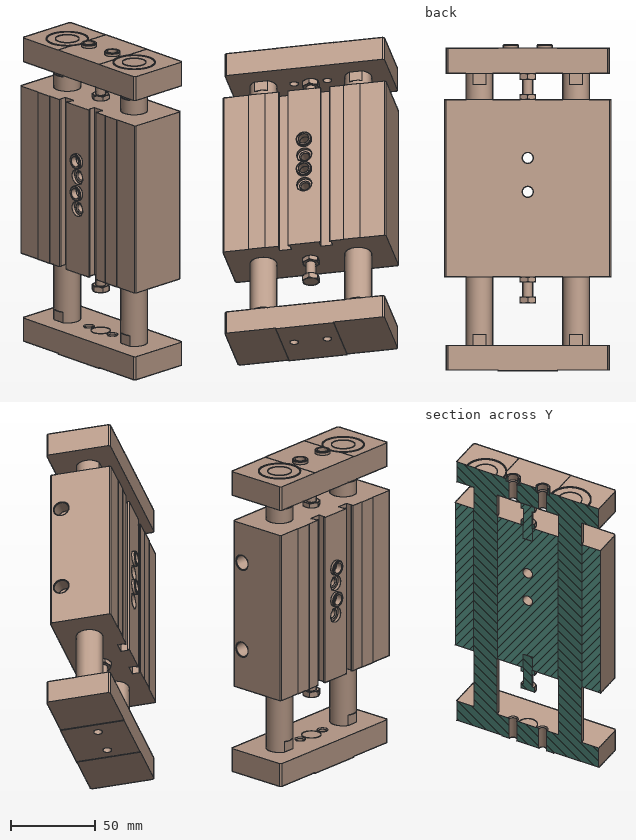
import cadquery as cq
import math


overall_height = 191.9

housing_width = 98.0
housing_front = -19.0
housing_back = 18.5
housing_bottom = 55.3
housing_top = 159.7
housing_corner = 1.0
panel_relief = 0.25
outer_panel_inner_x = 23.6
outer_panel_outer_x = 33.5
slot_inner_x = 9.8
slot_outer_x = 15.0
slot_depth = 5.4
slot_lip = 1.2
slot_undercut = 1.0
slot_edge_chamfer = 0.5

plate_width = 96.0
plate_front = -18.0
plate_back = 21.0
plate_thickness = 15.0
plate_corner = 1.0
pad_width = 35.0
bottom_pad_height = 0.5
top_pad_height = 0.1
rod_diameter = 16.0
rod_spacing = 57.0
rod_flats = 14.0
flat_length = 6.5
cap_diameter = 24.0
cap_groove_diameter = 25.0
cap_groove_depth = 0.5
cap_centre_diameter = 14.0
cap_centre_depth = 0.4
bumper_diameter = 11.5
bumper_recess = 0.2

hole_pitch = 10.0
thread_core_diameter = 5.0
thread_mouth_diameter = 6.3
sleeve_diameter = 9.0
sleeve_length = 4.0
sleeve_protrusion = 2.0
sleeve_chamfer = 0.4
upper_sleeve_z = 125.3
blind_hole_depth = 11.5

port_diameter = 8.8
port_mouth_diameter = 9.5
port_depth = 9.5
port_y = 11.5
port_heights = (80.0, 135.0)
drill_tip_angle = 118.0

screw_diameter = 6.0
screw_depth = 9.5
hex_corners = 10.5
hex_chamfer_diameter = 9.0
hex_chamfer_angle = 30.0
head_height = 3.6
nut_height = 3.0

housing_depth = housing_back - housing_front
housing_height = housing_top - housing_bottom
plate_depth = plate_back - plate_front
plate_middle = (plate_front + plate_back) / 2
plate_top_face = overall_height - sleeve_protrusion
top_plate_bottom = plate_top_face - plate_thickness
rod_x = (-rod_spacing / 2, rod_spacing / 2)
plate_hole_x = (-hole_pitch, hole_pitch)
sleeve_seat_depth = sleeve_length - sleeve_protrusion
front_sleeve_z = (upper_sleeve_z, upper_sleeve_z - 2 * hole_pitch)
screw_reach = top_plate_bottom - housing_top

UP = (0, 0, 1)
DOWN = (0, 0, -1)
RIGHT = (1, 0, 0)
FORWARD = (0, -1, 0)
BACKWARD = (0, 1, 0)


def cylinder(diameter, length, base, direction):
    """Cylinder that starts at base and runs along direction."""
    solid = cq.Solid.makeCylinder(diameter / 2, length, cq.Vector(*base), cq.Vector(*direction))
    return cq.Workplane(solid)


def cone(start_diameter, end_diameter, length, base, direction):
    """Cone frustum that starts at base and runs along direction."""
    solid = cq.Solid.makeCone(
        start_diameter / 2, end_diameter / 2, length, cq.Vector(*base), cq.Vector(*direction)
    )
    return cq.Workplane(solid)


def drilled_hole(diameter, depth, base, direction):
    """Blind hole tool with a pointed drill tip."""
    tip = diameter / 2 / math.tan(math.radians(drill_tip_angle / 2))
    start = cq.Vector(*base)
    tip_base = start + cq.Vector(*direction) * depth
    return cylinder(diameter, depth, base, direction).union(
        cone(diameter, 0, tip, tip_base.toTuple(), direction)
    )


def countersink(mouth_diameter, core_diameter, base, direction):
    """45 degree lead-in of a hole."""
    return cone(mouth_diameter, core_diameter, (mouth_diameter - core_diameter) / 2, base, direction)


def thread_mouth(base, direction):
    """Lead-in of a threaded hole."""
    return countersink(thread_mouth_diameter, thread_core_diameter, base, direction)


def housing_block():
    """Plain housing with chamfered upright corners."""
    return (
        cq.Workplane("XY", origin=(0, (housing_front + housing_back) / 2, housing_bottom))
        .rect(housing_width, housing_depth)
        .extrude(housing_height)
        .edges("|Z")
        .chamfer(housing_corner)
    )


def full_height_cut(x_start, x_end, y_start, y_end):
    """Rectangular cutter that runs the full height of the housing."""
    return (
        cq.Workplane("XY", origin=((x_start + x_end) / 2, (y_start + y_end) / 2, housing_bottom))
        .rect(abs(x_end - x_start), y_end - y_start)
        .extrude(housing_height)
    )


def front_profile_cuts(side):
    """Face reliefs and undercut sensor slot on one side (-1 left, +1 right)."""
    relief_y = housing_front + panel_relief
    outer_relief = full_height_cut(side * outer_panel_outer_x, side * housing_width / 2, housing_front, relief_y)
    inner_relief = full_height_cut(side * slot_outer_x, side * outer_panel_inner_x, housing_front, relief_y)
    mouth = full_height_cut(side * slot_inner_x, side * slot_outer_x, housing_front, housing_front + slot_depth)
    undercut = full_height_cut(
        side * (slot_inner_x - slot_undercut),
        side * (slot_outer_x + slot_undercut),
        housing_front + slot_lip,
        housing_front + slot_depth,
    )
    edge_chamfer = (
        cq.Workplane("XY", origin=(0, 0, housing_bottom))
        .moveTo(side * slot_outer_x, housing_front)
        .lineTo(side * (slot_outer_x + slot_edge_chamfer), relief_y)
        .lineTo(side * slot_outer_x, relief_y + slot_edge_chamfer)
        .close()
        .extrude(housing_height)
    )
    return outer_relief.union(inner_relief).union(mouth).union(undercut).union(edge_chamfer)


def through_hole(z):
    """Sleeve seat in the front face and a hole through the whole housing."""
    face = (0, housing_front, z)
    seat = cylinder(sleeve_diameter, sleeve_seat_depth, face, BACKWARD)
    return seat.union(cylinder(thread_mouth_diameter, housing_depth, face, BACKWARD))


def blind_hole(z):
    """Empty sleeve seat in the front face and a blind threaded hole."""
    seat = cylinder(sleeve_diameter, sleeve_seat_depth, (0, housing_front, z), BACKWARD)
    seat_floor = (0, housing_front + sleeve_seat_depth, z)
    thread = drilled_hole(thread_core_diameter, blind_hole_depth, seat_floor, BACKWARD)
    return seat.union(thread).union(thread_mouth(seat_floor, BACKWARD))


def air_port(z):
    """Countersunk blind port in the -X side."""
    face = (-housing_width / 2, port_y, z)
    bore = drilled_hole(port_diameter, port_depth, face, RIGHT)
    return bore.union(countersink(port_mouth_diameter, port_diameter, face, RIGHT))


def make_housing():
    """Housing with its front profile, rod bores, mounting holes, air ports and screw holes."""
    body = housing_block()
    for side in (-1, 1):
        body = body.cut(front_profile_cuts(side))
    for x in rod_x:
        body = body.cut(cylinder(rod_diameter, housing_height, (x, 0, housing_bottom), UP))
    for z in front_sleeve_z:
        body = body.cut(through_hole(z)).cut(blind_hole(z - hole_pitch))
    for z in port_heights:
        body = body.cut(air_port(z))
    upper_screw_hole = cylinder(screw_diameter, screw_depth, (0, 0, housing_top), DOWN)
    lower_screw_hole = cylinder(screw_diameter, screw_depth, (0, 0, housing_bottom), UP)
    return body.cut(upper_screw_hole).cut(lower_screw_hole)


def end_plate(bottom, height):
    """Plate with chamfered upright corners."""
    return (
        cq.Workplane("XY", origin=(0, plate_middle, bottom))
        .rect(plate_width, plate_depth)
        .extrude(height)
        .edges("|Z")
        .chamfer(plate_corner)
    )


def pad(bottom, height):
    """Middle strip over the full depth of a plate."""
    return (
        cq.Workplane("XY", origin=(0, plate_middle, bottom))
        .rect(pad_width, plate_depth)
        .extrude(height)
    )


def wrench_flats(bottom):
    """Cutter that leaves two flats facing -Y and +Y over one stretch of a rod on the Z axis."""
    width = 2 * rod_diameter
    around = cq.Workplane("XY", origin=(0, 0, bottom)).rect(width, width).extrude(flat_length)
    kept = cq.Workplane("XY", origin=(0, 0, bottom)).rect(width, rod_flats).extrude(flat_length)
    return around.cut(kept)


def rod(x):
    """Rod between the plates, with wrench flats at both ends."""
    body = cylinder(rod_diameter, top_plate_bottom - plate_thickness, (0, 0, plate_thickness), UP)
    for bottom in (plate_thickness, top_plate_bottom - flat_length):
        body = body.cut(wrench_flats(bottom))
    return body.translate((x, 0, 0))


def rod_cap_recess(x):
    """Shallow recess that marks a rod end cap: ring groove, cap face and centre disc."""
    face = (x, 0, plate_top_face)
    cap = cylinder(cap_diameter, cap_groove_depth, face, DOWN)
    groove = cylinder(cap_groove_diameter, cap_groove_depth, face, DOWN).cut(cap)
    cap_face = cylinder(cap_diameter, top_pad_height, face, DOWN)
    centre = cylinder(cap_centre_diameter, cap_centre_depth, face, DOWN)
    return groove.union(cap_face).union(centre)


def upper_plate_hole(x):
    """Sleeve seat above a threaded hole through the upper plate."""
    seat_floor = (x, 0, plate_top_face - sleeve_seat_depth)
    seat = cylinder(sleeve_diameter, sleeve_seat_depth, (x, 0, plate_top_face), DOWN)
    thread = cylinder(thread_core_diameter, plate_thickness, seat_floor, DOWN)
    return seat.union(thread).union(thread_mouth(seat_floor, DOWN))


def lower_plate_hole(x):
    """Threaded hole through the lower plate."""
    face = (x, 0, plate_thickness)
    return cylinder(thread_core_diameter, plate_thickness, face, DOWN).union(thread_mouth(face, DOWN))


def make_frame():
    """Both end plates with their pads, joined by the rods."""
    body = end_plate(bottom_pad_height, plate_thickness - bottom_pad_height)
    body = body.union(pad(0, plate_thickness))
    body = body.union(end_plate(top_plate_bottom, plate_thickness - top_pad_height))
    body = body.union(pad(top_plate_bottom, plate_thickness))
    for x in rod_x:
        body = body.union(rod(x)).cut(rod_cap_recess(x))
    for x in plate_hole_x:
        body = body.cut(upper_plate_hole(x)).cut(lower_plate_hole(x))
    return body.cut(cylinder(bumper_diameter, bumper_recess, (0, 0, plate_thickness), DOWN))


def make_sleeve(face_point, outward):
    """Sleeve seated in its counterbore, standing proud of face_point along outward."""
    direction = cq.Vector(*outward)
    base = cq.Vector(*face_point) - direction * sleeve_seat_depth
    straight = sleeve_length - sleeve_chamfer
    rim_diameter = sleeve_diameter - 2 * sleeve_chamfer
    rim = base + direction * straight
    body = cylinder(sleeve_diameter, straight, base.toTuple(), outward)
    chamfered_rim = cone(sleeve_diameter, rim_diameter, sleeve_chamfer, rim.toTuple(), outward)
    bore = cylinder(thread_mouth_diameter, sleeve_length, base.toTuple(), outward)
    return body.union(chamfered_rim).cut(bore)


def hexagon(height):
    """Hexagon with corners on +-Y, standing on Z = 0, its corners chamfered at both ends."""
    prism = cq.Workplane("XY").polygon(6, hex_corners).extrude(height).rotate((0, 0, 0), (0, 0, 1), 90)
    rise = (hex_corners - hex_chamfer_diameter) / 2 * math.tan(math.radians(hex_chamfer_angle))
    envelope = (
        cq.Workplane("XZ")
        .moveTo(0, 0)
        .lineTo(hex_chamfer_diameter / 2, 0)
        .lineTo(hex_corners / 2, rise)
        .lineTo(hex_corners / 2, height - rise)
        .lineTo(hex_chamfer_diameter / 2, height)
        .lineTo(0, height)
        .close()
        .revolve(360, (0, 0, 0), (0, 1, 0))
    )
    return prism.intersect(envelope)


def make_screw():
    """Screw set into a housing face at Z = 0, its head standing above it."""
    shank = cylinder(screw_diameter, screw_depth + screw_reach - head_height, (0, 0, -screw_depth), UP)
    return shank.union(hexagon(head_height).translate((0, 0, screw_reach - head_height)))


def make_nut():
    """Lock nut resting on a housing face at Z = 0."""
    return hexagon(nut_height).cut(cylinder(screw_diameter, nut_height, (0, 0, 0), UP))


def on_housing_ends(make_body):
    """One copy of a body on the top face of the housing and one on the bottom face."""
    upper = make_body().translate((0, 0, housing_top))
    lower = make_body().rotate((0, 0, 0), (0, 1, 0), 180).translate((0, 0, housing_bottom))
    return [upper.val(), lower.val()]


housing = make_housing()
frame = make_frame()
front_sleeves = [make_sleeve((0, housing_front, z), FORWARD).val() for z in front_sleeve_z]
plate_sleeves = [make_sleeve((x, 0, plate_top_face), UP).val() for x in plate_hole_x]
screws = on_housing_ends(make_screw)
nuts = on_housing_ends(make_nut)

result = cq.Compound.makeCompound(
    [housing.val(), frame.val(), *front_sleeves, *plate_sleeves, *screws, *nuts]
)